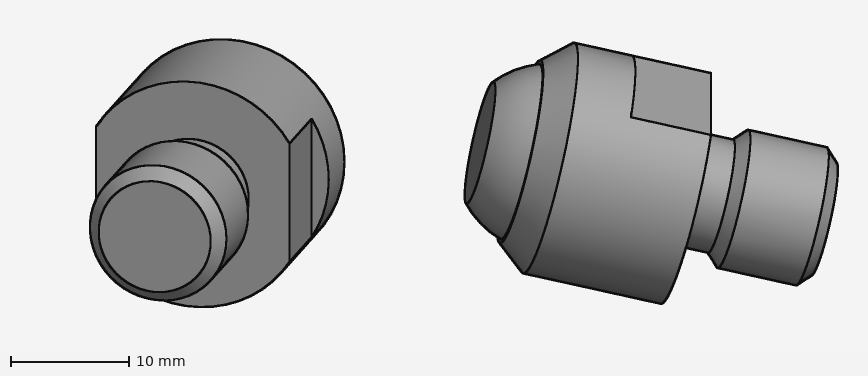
import cadquery as cq
import math

total_length = 30.0
body_diameter = 20.0
thread_diameter = 12.0
groove_diameter = 9.85
ball_diameter = 16.0
width_across_flats = 17.0

groove_start = 9.0
shoulder = 12.0
flats_end = 19.0
cone_start = 24.0
cone_end = 26.5
cone_end_radius = 7.92

body_radius = body_diameter / 2
thread_radius = thread_diameter / 2
groove_radius = groove_diameter / 2
ball_radius = ball_diameter / 2
chamfer = thread_radius - groove_radius
ball_center = cone_start


def ball_section(station):
    """Radius of the ball where a plane cuts it at the given station."""
    return math.sqrt(ball_radius**2 - (station - ball_center) ** 2)


def turned_body():
    """Stud, groove, body, cone and truncated ball as one revolved profile."""
    ball_mid = (cone_end + total_length) / 2
    profile = (
        cq.Workplane("XY")
        .moveTo(0, 0)
        .lineTo(thread_radius - chamfer, 0)
        .lineTo(thread_radius, chamfer)
        .lineTo(thread_radius, groove_start - chamfer)
        .lineTo(groove_radius, groove_start)
        .lineTo(groove_radius, shoulder)
        .lineTo(body_radius, shoulder)
        .lineTo(body_radius, cone_start)
        .lineTo(cone_end_radius, cone_end)
        .lineTo(ball_section(cone_end), cone_end)
        .threePointArc(
            (ball_section(ball_mid), ball_mid),
            (ball_section(total_length), total_length),
        )
        .lineTo(0, total_length)
        .close()
    )
    return profile.revolve(360, (0, 0, 0), (0, 1, 0))


def flat_cutter(side):
    """Block beyond one wrench flat; side is -1 or +1 along X."""
    flat_length = flats_end - shoulder
    return cq.Workplane("XY").box(body_diameter, flat_length, body_diameter).translate(
        (side * (width_across_flats + body_diameter) / 2, shoulder + flat_length / 2, 0)
    )


result = turned_body()
for side in (-1, 1):
    result = result.cut(flat_cutter(side))